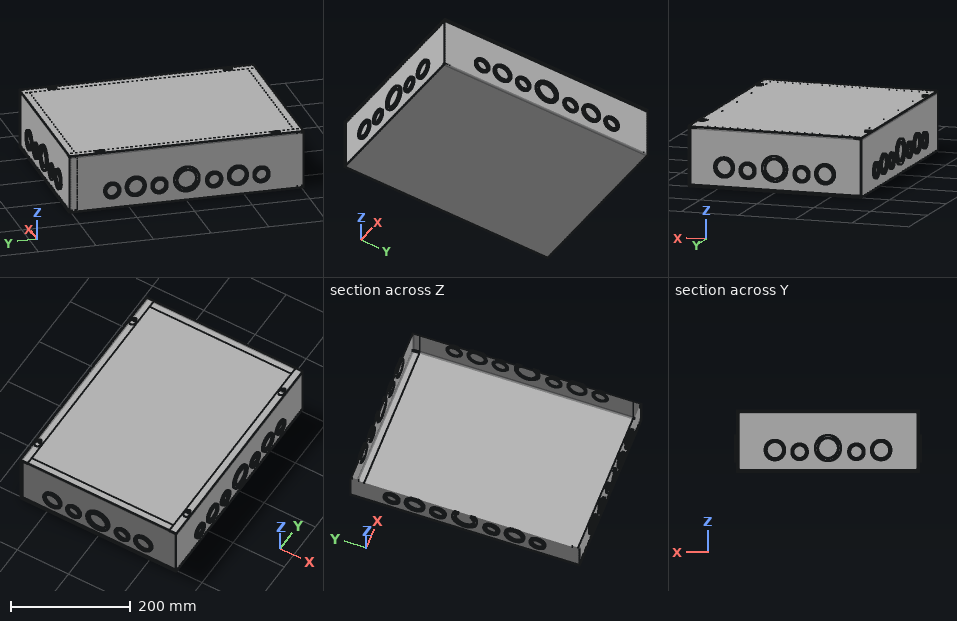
import cadquery as cq


sheet = 1.53
bend_radius = 1.5 * sheet
inner_bend_radius = bend_radius - sheet
ring_height = 2 * sheet
box_width = 304.7
box_length = 412.5 - 2 * ring_height
box_height = 103 - sheet
flange_width = 14.0
panel_flange_width = 13.5
panel_clearance = 0.6

keyhole_inset = 7.0
keyhole_spacing = 304.7
keyhole_drop = 6.5
keyhole_slot_width = 7.5
keyhole_head_diameter = 10.7
screw_hole_diameter = 4.0

large_ring = (44.5, 32.0, 39.5)
medium_ring = (35.0, 26.5, 36.3)
small_ring = (28.5, 20.0, 33.5)

inner_spacing = 47.5
middle_spacing = 88.5
outer_spacing = 129.5
end_row = [(0, large_ring)]
for side in (-1, 1):
    end_row.append((side * inner_spacing, small_ring))
    end_row.append((side * middle_spacing, medium_ring))
side_row = list(end_row)
for side in (-1, 1):
    side_row.append((side * outer_spacing, small_ring))

keyhole_points = [
    (side_x * (box_width / 2 - keyhole_inset), side_y * keyhole_spacing / 2)
    for side_x in (-1, 1)
    for side_y in (-1, 1)
]


def tube(plane, place, outer_diameter, inner_diameter, start, end):
    """Tube square to the plane, running between two distances from it."""
    return (
        cq.Workplane(plane)
        .workplane(offset=start)
        .center(*place)
        .circle(outer_diameter / 2)
        .circle(inner_diameter / 2)
        .extrude(end - start)
    )


def emboss_rings(body, plane, row, rise=0):
    """Press a row of hollow rings outward from a wall whose outer face is the plane.

    The rise lifts the whole row above its listed heights.
    """
    for distance, (outer_diameter, recess_diameter, height) in row:
        place = (distance, height + rise)
        ring = tube(plane, place, outer_diameter, recess_diameter, 0, ring_height)
        hollow = tube(
            plane,
            place,
            outer_diameter - 2 * sheet,
            recess_diameter + 2 * sheet,
            -sheet,
            ring_height - sheet,
        )
        body = body.union(ring).cut(hollow)
    return body


def make_wrap():
    """Floor and long sides bent from one sheet, with flanges turned in at the top."""
    wrap = (
        cq.Workplane("XY")
        .box(box_width, box_length, box_height, centered=(True, True, False))
        .edges("|Y")
        .fillet(bend_radius)
    )
    inside = (
        cq.Workplane("XY")
        .box(
            box_width - 2 * sheet,
            box_length,
            box_height - 2 * sheet,
            centered=(True, True, False),
        )
        .edges("|Y")
        .fillet(inner_bend_radius)
        .translate((0, 0, sheet))
    )
    opening = cq.Workplane("XY", origin=(0, 0, box_height / 2)).box(
        box_width - 2 * flange_width, box_length, box_height, centered=(True, True, False)
    )
    wrap = wrap.cut(inside).cut(opening)

    for side in (-1, 1):
        outer_face = cq.Plane(
            origin=(side * box_width / 2, 0, 0), xDir=(0, side, 0), normal=(side, 0, 0)
        )
        wrap = emboss_rings(wrap, outer_face, side_row)

    screw_holes = (
        cq.Workplane("XY", origin=(0, 0, box_height - sheet))
        .pushPoints(keyhole_points)
        .circle(screw_hole_diameter / 2)
        .extrude(sheet)
    )
    return wrap.cut(screw_holes)


def make_end_panel():
    """End panel on the -Y side: a shallow tray with flanges turned inward on four sides."""
    panel_width = box_width - 2 * (sheet + panel_clearance)
    bottom = sheet + panel_clearance
    panel_height = box_height - bottom
    front = -box_length / 2

    panel = (
        cq.Workplane("XY", origin=(0, front, bottom))
        .box(panel_width, panel_flange_width, panel_height, centered=(True, False, False))
        .faces("<Y")
        .edges()
        .fillet(bend_radius)
    )
    inside = (
        cq.Workplane("XY", origin=(0, front + sheet, bottom + sheet))
        .box(
            panel_width - 2 * sheet,
            panel_flange_width,
            panel_height - 2 * sheet,
            centered=(True, False, False),
        )
        .faces("<Y")
        .edges()
        .fillet(inner_bend_radius)
    )
    panel = panel.cut(inside)

    reliefs = (
        cq.Workplane("XY", origin=(0, front, bottom + panel_height / 2))
        .pushPoints([(-panel_width / 2, 0), (panel_width / 2, 0)])
        .box(2 * bend_radius, panel_flange_width, 2 * bend_radius, centered=(True, False, True))
    )
    for side in (-1, 1):
        panel = panel.cut(reliefs.translate((0, 0, side * panel_height / 2)))

    for side in (-1, 1):
        notch = cq.Workplane(
            "XY", origin=(side * (box_width - flange_width) / 2, front, box_height - sheet)
        ).box(flange_width, panel_flange_width, sheet, centered=(True, False, False))
        panel = panel.cut(notch)

    outer_face = cq.Plane(origin=(0, front, 0), xDir=(1, 0, 0), normal=(0, -1, 0))
    return emboss_rings(panel, outer_face, end_row, panel_clearance)


def make_cover():
    """Flat cover with four keyholes whose narrow ends lie over the screw holes."""
    cover = cq.Workplane("XY", origin=(0, 0, box_height)).box(
        box_width, box_length, sheet, centered=(True, True, False)
    )
    for x, y in keyhole_points:
        slot_end = (
            cq.Workplane("XY", origin=(x, y, box_height))
            .circle(keyhole_slot_width / 2)
            .extrude(sheet)
        )
        neck = cq.Workplane("XY", origin=(x, y - keyhole_drop / 2, box_height)).box(
            keyhole_slot_width, keyhole_drop, sheet, centered=(True, True, False)
        )
        head = (
            cq.Workplane("XY", origin=(x, y - keyhole_drop, box_height))
            .circle(keyhole_head_diameter / 2)
            .extrude(sheet)
        )
        cover = cover.cut(slot_end.union(neck).union(head))
    return cover


wrap = make_wrap()
front_panel = make_end_panel()
end_panels = [front_panel.rotate((0, 0, 0), (0, 0, 1), angle) for angle in (0, 180)]
cover = make_cover()

result = cq.Compound.makeCompound(
    [wrap.val(), *[panel.val() for panel in end_panels], cover.val()]
)